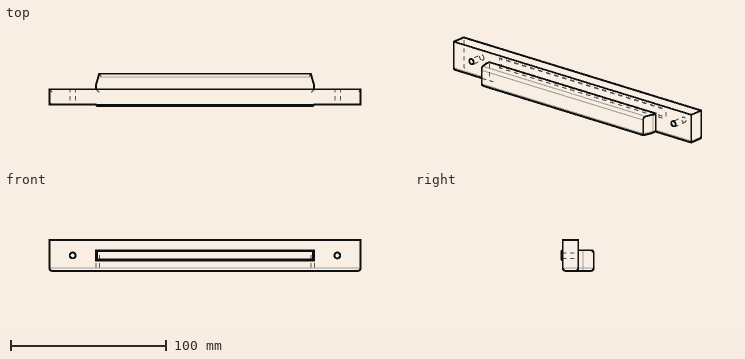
import cadquery as cq

bar_length = 200
bar_thickness = 10
bar_height = 20
bottom_radius = 2

hole_diameter = 3.5
hole_spacing = 170

block_depth = 10
block_height = 13.5
block_root_length = 140
block_tip_length = 136
block_root_depth = 3.0

strip_length = 140
strip_height = 6.8
strip_projection = 1.0
strip_bevel_angle = 40


def make_bar():
    bar = cq.Workplane("XY").box(
        bar_length, bar_thickness, bar_height, centered=(True, False, False)
    )
    bar = bar.faces("<Z").edges().fillet(bottom_radius)
    holes = (
        cq.Workplane("XZ", origin=(0, 0, bar_height / 2))
        .pushPoints([(-hole_spacing / 2, 0), (hole_spacing / 2, 0)])
        .circle(hole_diameter / 2)
        .extrude(-bar_thickness)
    )
    return bar.cut(holes)


def make_back_block():
    inner_y = bar_thickness / 2
    taper_y = bar_thickness + block_root_depth
    back_y = bar_thickness + block_depth
    root_x = block_root_length / 2
    tip_x = block_tip_length / 2
    outline = [
        (-root_x, inner_y),
        (root_x, inner_y),
        (root_x, taper_y),
        (tip_x, back_y),
        (-tip_x, back_y),
        (-root_x, taper_y),
    ]
    block = cq.Workplane("XY").polyline(outline).close().extrude(block_height)
    block = block.faces("<Z").edges("not <Y").fillet(bottom_radius)
    return block.faces(">Z").edges(">Y").fillet(bottom_radius)


def make_front_strip():
    return (
        cq.Workplane("XZ", origin=(0, 0, bar_height / 2))
        .rect(strip_length, strip_height)
        .extrude(strip_projection, taper=strip_bevel_angle)
    )


result = make_bar().union(make_back_block()).union(make_front_strip())